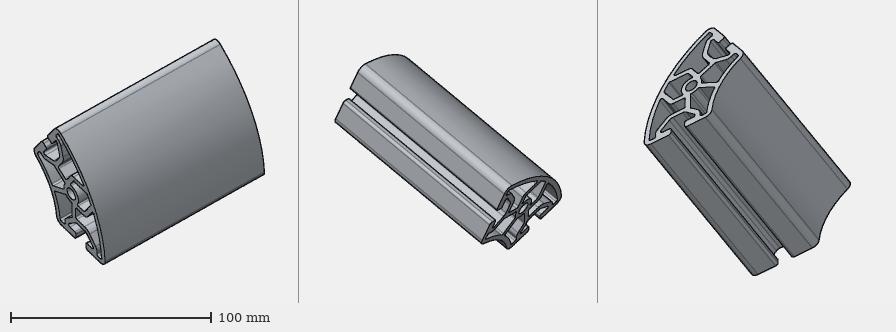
import cadquery as cq
import math

LENGTH = 100.0
SECTOR_ANGLE = 60.0
INNER_RADIUS = 40.0
OUTER_RADIUS = 80.0
WALL = 3.0
CORNER_RADIUS = 4.0

HUB_DISTANCE = (INNER_RADIUS + OUTER_RADIUS) / 2
HUB_RADIUS = 6.0
BORE_DIAMETER = 6.8

SLOT_CENTRE = HUB_DISTANCE
SLOT_OPENING = 8.0
LIP_THICKNESS = 4.7
LIP_OUTER_RADIUS = 1.5
LIP_INNER_RADIUS = 1.0
SLOT_DEPTH = 12.3
SLOT_CEILING_WIDTH = 8.2
SLOT_CEILING_RADIUS = 3.0
SLOT_TIP_RADIUS = 1.1

SPOKE_START = 52.6
RADIAL_WEB = 3.0
KITE_NEAR = 26.1
KITE_FAR = 41.2
CHAMBER_RADIUS = 1.0
KITE_RADIUS = 0.6

MATCH_TOLERANCE = 0.05

HALF_ANGLE = math.radians(SECTOR_ANGLE / 2)
FULL_ANGLE = math.radians(SECTOR_ANGLE)
HUB_X = HUB_DISTANCE * math.cos(HALF_ANGLE)
HUB_Z = HUB_DISTANCE * math.sin(HALF_ANGLE)
RIM_INNER = INNER_RADIUS + WALL
RIM_OUTER = OUTER_RADIUS - WALL

BEVEL_SHIFT = WALL * math.tan(math.radians(45 / 2))
SHELL_TOP = SLOT_DEPTH + WALL
SHELL_CEILING_HALF = SLOT_CEILING_WIDTH / 2 + BEVEL_SHIFT
SLOT_BASE_HALF = SLOT_CEILING_WIDTH / 2 + SLOT_DEPTH - LIP_THICKNESS
SHELL_SIDE_HALF = SLOT_BASE_HALF - SLOT_TIP_RADIUS * math.sqrt(2) + WALL
SHELL_SHOULDER = SHELL_TOP - (SHELL_SIDE_HALF - SHELL_CEILING_HALF)


def prism(points):
    """Extrude a closed XZ polygon over the full length."""
    return cq.Workplane("XZ").polyline(points).close().extrude(-LENGTH)


def cylinder(radius, x=0.0, z=0.0):
    """Full-length cylinder along Y."""
    return cq.Workplane("XZ").center(x, z).circle(radius).extrude(-LENGTH)


def ring(inner, outer):
    """Full-length tube around the bend centre, given its two radii."""
    return cylinder(outer).cut(cylinder(inner))


def mirrored(solid):
    """Reflect a solid across the symmetry plane of the sector."""
    return solid.mirror("XY").rotate((0, 0, 0), (0, 1, 0), -SECTOR_ANGLE)


def mirrored_point(point):
    """Reflect an (x, z) point across the symmetry line of the sector."""
    x, z = point
    cosine = math.cos(FULL_ANGLE)
    sine = math.sin(FULL_ANGLE)
    return x * cosine + z * sine, x * sine - z * cosine


def mirror_line_x(offset, z):
    """X at height z on the reflection of the line Z = offset."""
    return (offset + z * math.cos(FULL_ANGLE)) / math.sin(FULL_ANGLE)


def near(edge, corner):
    """True if a lengthwise edge passes through an (x, z) corner point."""
    centre = edge.Center()
    return math.hypot(centre.x - corner[0], centre.z - corner[1]) < MATCH_TOLERANCE


def round_edges(solid, radius, special):
    """Round all lengthwise edges; special maps corner points to their own radius."""
    sharp = solid.edges("|Y").filter(lambda e: not any(near(e, c) for c in special))
    solid = sharp.fillet(radius)
    for corner, corner_radius in special.items():
        solid = solid.edges("|Y").filter(lambda e: near(e, corner)).fillet(corner_radius)
    return solid


def body():
    """Solid ring sector with rounded outer corners."""
    reach = 2 * OUTER_RADIUS
    wedge = prism([
        (0, 0),
        (reach, 0),
        (reach * math.cos(FULL_ANGLE), reach * math.sin(FULL_ANGLE)),
    ])
    return wedge.intersect(ring(INNER_RADIUS, OUTER_RADIUS)).edges("|Y").fillet(CORNER_RADIUS)


def slot():
    """T-slot cavity, widened below Z = 0 so that its rounds also shape the lip tips."""
    ceiling_half = SLOT_CEILING_WIDTH / 2
    base_left = (SLOT_CENTRE - SLOT_BASE_HALF, LIP_THICKNESS)
    base_right = (SLOT_CENTRE + SLOT_BASE_HALF, LIP_THICKNESS)
    ceiling_right = (SLOT_CENTRE + ceiling_half, SLOT_DEPTH)
    ceiling_left = (SLOT_CENTRE - ceiling_half, SLOT_DEPTH)
    mouth_left = SLOT_CENTRE - SLOT_OPENING / 2
    mouth_right = SLOT_CENTRE + SLOT_OPENING / 2
    cavity = prism([
        base_left,
        (mouth_left, LIP_THICKNESS),
        (mouth_left, 0),
        (base_left[0], 0),
        (base_left[0], -WALL),
        (base_right[0], -WALL),
        (base_right[0], 0),
        (mouth_right, 0),
        (mouth_right, LIP_THICKNESS),
        base_right,
        ceiling_right,
        ceiling_left,
    ])
    rounds = {
        ceiling_left: SLOT_CEILING_RADIUS,
        ceiling_right: SLOT_CEILING_RADIUS,
    }
    for x in (mouth_left, mouth_right):
        rounds[(x, 0)] = LIP_OUTER_RADIUS
        rounds[(x, LIP_THICKNESS)] = LIP_INNER_RADIUS
    return round_edges(cavity, SLOT_TIP_RADIUS, rounds)


def kite_chamber():
    """Chamber between hub and outer wall, centred on the symmetry line."""
    hub_side = (HUB_X, KITE_NEAR)
    corner = (mirror_line_x(KITE_FAR, KITE_NEAR), KITE_NEAR)
    far_tip = (KITE_FAR / math.tan(HALF_ANGLE), KITE_FAR)
    kite = prism([
        (HUB_X, HUB_Z),
        hub_side,
        corner,
        far_tip,
        mirrored_point(corner),
        mirrored_point(hub_side),
    ])
    kite = kite.intersect(cylinder(RIM_OUTER)).cut(cylinder(HUB_RADIUS, HUB_X, HUB_Z))
    return kite.edges("|Y").fillet(KITE_RADIUS)


def outer_chamber():
    """Chamber between the slot wall, the kite chamber and the outer wall."""
    left = SPOKE_START + WALL
    side = SLOT_CENTRE + SHELL_SIDE_HALF
    top = KITE_NEAR - WALL
    kite_corner = (mirror_line_x(KITE_FAR + WALL, top), top)
    kite_side_end = (mirror_line_x(KITE_FAR + WALL, RIM_OUTER), RIM_OUTER)
    shell_corner = (SLOT_CENTRE + SHELL_CEILING_HALF, SHELL_TOP)
    shoulder = (side, SHELL_SHOULDER)
    chamber = prism([
        (left, SHELL_TOP),
        shell_corner,
        shoulder,
        (side, WALL),
        (OUTER_RADIUS, WALL),
        (OUTER_RADIUS, RIM_OUTER),
        kite_side_end,
        kite_corner,
        (left, top),
    ])
    chamber = chamber.intersect(cylinder(RIM_OUTER))
    wall_rounds = {
        kite_corner: WALL,
        shell_corner: SLOT_CEILING_RADIUS + WALL,
        shoulder: SLOT_TIP_RADIUS + WALL,
    }
    return round_edges(chamber, CHAMBER_RADIUS, wall_rounds)


def inner_chamber():
    """Chamber between the slot wall, the hub and the inner wall."""
    side = SLOT_CENTRE - SHELL_SIDE_HALF
    shoulder = (side, SHELL_SHOULDER)
    spoke_foot = SHELL_SHOULDER + SPOKE_START - side
    web_drop = RADIAL_WEB / 2 / math.cos(HALF_ANGLE)
    slope = math.tan(HALF_ANGLE)
    chamber = prism([
        (side, WALL),
        shoulder,
        (SPOKE_START, spoke_foot),
        (SPOKE_START, SPOKE_START * slope - web_drop),
        ((WALL + web_drop) / slope, WALL),
    ])
    chamber = chamber.cut(cylinder(RIM_INNER)).cut(cylinder(HUB_RADIUS, HUB_X, HUB_Z))
    return round_edges(chamber, CHAMBER_RADIUS, {shoulder: SLOT_TIP_RADIUS + WALL})


def profile():
    """Sector with all chambers, the bore and both slots cut out."""
    solid = body().cut(cylinder(BORE_DIAMETER / 2, HUB_X, HUB_Z)).cut(kite_chamber())
    for feature in (outer_chamber(), inner_chamber(), slot()):
        solid = solid.cut(feature).cut(mirrored(feature))
    return solid


result = profile()